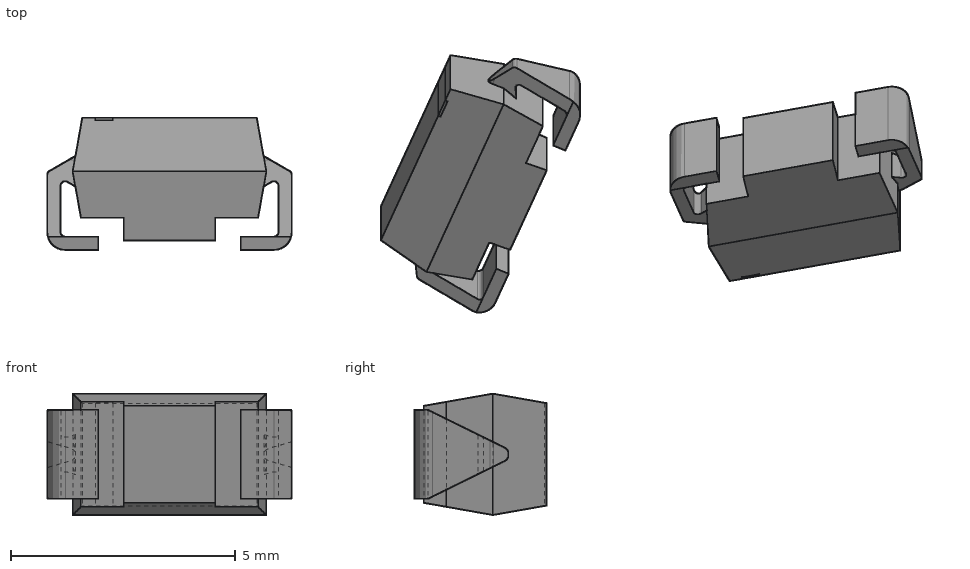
import cadquery as cq
import math

LENGTH = 5.45
DEPTH = 2.95
HEIGHT = 2.71

PARTING_Y = 1.75
HOUSING_HALF_X = 2.16
HOUSING_HALF_Z = HEIGHT / 2
DRAFT = math.tan(math.radians(10))
SHOULDER_Y = 0.715
PAD_FRONT_Y = 0.205
PAD_HALF_X = 1.025

MARK_CENTER_X = -1.46
MARK_WIDTH = 0.39
MARK_DEPTH = 0.055

LEAD_THICKNESS = 0.3
FOOT_LENGTH = 1.14
ARM_SLOPE = math.tan(math.radians(30))
ARM_TOP_Y = 1.735
ARM_UNDERSIDE_Y = 1.6
ARM_REACH = 1.09
BEND_INNER_RADIUS = 0.1
BEND_OUTER_RADIUS = BEND_INNER_RADIUS + LEAD_THICKNESS
LEAD_HALF_Z = 0.99
LEAD_APEX_Y = 2.315
LEAD_TIP_RADIUS = 0.17


def draft_inset(y):
    """Distance the drafted walls have moved inwards at a given Y."""
    return DRAFT * abs(y - PARTING_Y)


def make_body_blank():
    """Housing with its pad, before the mark recess is cut."""
    back_inset = draft_inset(DEPTH)
    shoulder_inset = draft_inset(SHOULDER_Y)
    pad_inset = draft_inset(PAD_FRONT_Y)

    right_plan = [
        (PAD_HALF_X, PAD_FRONT_Y),
        (PAD_HALF_X, SHOULDER_Y),
        (HOUSING_HALF_X - shoulder_inset, SHOULDER_Y),
        (HOUSING_HALF_X, PARTING_Y),
        (HOUSING_HALF_X - back_inset, DEPTH),
    ]
    left_plan = [(-x, y) for x, y in reversed(right_plan)]
    plan = cq.Workplane("XY").polyline(right_plan + left_plan).close()
    plan_prism = plan.extrude(HOUSING_HALF_Z, both=True)

    upper_section = [
        (PAD_FRONT_Y, HOUSING_HALF_Z - pad_inset),
        (PARTING_Y, HOUSING_HALF_Z),
        (DEPTH, HOUSING_HALF_Z - back_inset),
    ]
    lower_section = [(y, -z) for y, z in reversed(upper_section)]
    section = cq.Workplane("YZ").polyline(upper_section + lower_section).close()
    section_prism = section.extrude(HOUSING_HALF_X, both=True)
    return plan_prism.intersect(section_prism)


def make_mark(blank):
    """Shallow bar across the back face, following the drafted housing walls."""
    bar = cq.Workplane("XY").box(MARK_WIDTH, MARK_DEPTH, HEIGHT)
    return bar.translate((MARK_CENTER_X, DEPTH - MARK_DEPTH / 2, 0)).intersect(blank)


def round_corner(strip, corner, radius):
    """Round the edge along Z that stands at the given XY corner."""
    nearest = cq.selectors.NearestToPointSelector((*corner, 0))
    return strip.edges("|Z").edges(nearest).fillet(radius)


def make_left_lead(blank):
    """Lead on the -X side, ending against the housing wall."""
    outer_x = -LENGTH / 2
    inner_x = outer_x + LEAD_THICKNESS
    foot_end_x = outer_x + FOOT_LENGTH
    arm_end_x = outer_x + ARM_REACH

    foot_outer = (outer_x, 0)
    foot_inner = (inner_x, LEAD_THICKNESS)
    arm_outer = (outer_x, ARM_TOP_Y)
    arm_inner = (inner_x, ARM_UNDERSIDE_Y)
    profile = [
        (foot_end_x, 0),
        foot_outer,
        arm_outer,
        (arm_end_x, ARM_TOP_Y + ARM_SLOPE * (arm_end_x - outer_x)),
        (arm_end_x, ARM_UNDERSIDE_Y - ARM_SLOPE * (arm_end_x - inner_x)),
        arm_inner,
        foot_inner,
        (foot_end_x, LEAD_THICKNESS),
    ]
    strip = cq.Workplane("XY").polyline(profile).close().extrude(LEAD_HALF_Z, both=True)
    strip = round_corner(strip, foot_outer, BEND_OUTER_RADIUS)
    for corner in (foot_inner, arm_outer, arm_inner):
        strip = round_corner(strip, corner, BEND_INNER_RADIUS)

    outline = [
        (0, LEAD_HALF_Z),
        (LEAD_THICKNESS, LEAD_HALF_Z),
        (LEAD_APEX_Y, 0),
        (LEAD_THICKNESS, -LEAD_HALF_Z),
        (0, -LEAD_HALF_Z),
    ]
    taper = cq.Workplane("YZ").polyline(outline).close().extrude(-LENGTH / 2)
    taper = taper.edges("|X").edges(">Y").fillet(LEAD_TIP_RADIUS)
    return strip.intersect(taper).cut(blank)


body_blank = make_body_blank()
polarity_mark = make_mark(body_blank)
housing = body_blank.cut(polarity_mark)

left_lead = make_left_lead(body_blank)
leads = []
for turn in (0, 180):
    lead = left_lead.rotate((0, 0, 0), (0, 1, 0), turn)
    leads.append(lead.solids().val())

result = cq.Compound.makeCompound([housing.solids().val(), polarity_mark.solids().val(), *leads])